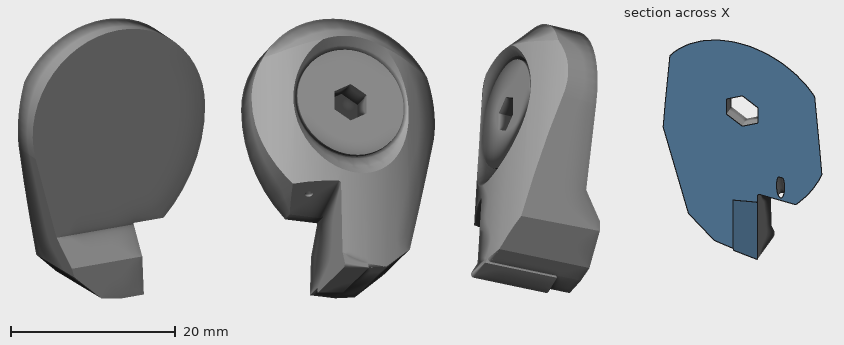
import cadquery as cq
import math


head_radius = 11.75
side_angle = 15.0
flank_radius = 19.0
lobe_bottom = -13.5
rake_face_y = 2.0
blank_front = -13.9
blank_bottom = -26.05
blank_back = 4.17
clear_length = 48.65

dome_radius = 17.3
dome_front = -8.55
dome_tilt = 3.3
chamfer_start = -4.17
chamfer_drop = 1.0

heel_start = -13.7
heel_depth = 2.3
heel_corner = -17.1
heel_taper = 5.0

nose_tilt = 2.0
bevel_outer = (-7.15, -18.4)
bevel_inner = (-3.7, -21.55)
relief_inner = (-1.2, -21.95)
nose_radius = 0.4
nose_centre_x = -9.35

gullet_slope = 16.7
gullet_level = 1.75
gullet_fillet = 0.35
coolant_diameter = 1.0
coolant_depth = 3.47
coolant_x = -5.9
coolant_y = 5.07

screw_diameter = 13.6
screw_face = -6.77
recess_radius = 7.23
recess_angle = 50.0
groove_depth = 0.52
hex_across_flats = 4.1
hex_depth = 3.47

insert_corner_radius = 0.4
insert_corner_spacing = 9.62
insert_thickness = 3.2
insert_clearance = 7.0
insert_corner_x = -10.1
insert_corner_z = -22.58


def tan(angle):
    return math.tan(math.radians(angle))


def sin(angle):
    return math.sin(math.radians(angle))


def cos(angle):
    return math.cos(math.radians(angle))


def polar(radius, angle):
    """Point in the YZ plane at an angle from +Y towards +Z."""
    return (radius * cos(angle), radius * sin(angle))


def outline_blank():
    """Teardrop outline with a stepped +Y side, extruded along X."""
    tangent_y, tangent_z = polar(head_radius, 180 + side_angle)
    side_bottom_y = tangent_y + (tangent_z - blank_bottom) * tan(side_angle)

    flank_centre_y = head_radius - flank_radius
    flank_angle = math.degrees(math.asin(lobe_bottom / flank_radius))
    flank_mid_y, flank_mid_z = polar(flank_radius, flank_angle / 2)
    flank_end_y, _ = polar(flank_radius, flank_angle)

    return (
        cq.Workplane("YZ", origin=(blank_front, 0, 0))
        .moveTo(head_radius, 0)
        .threePointArc((0, head_radius), (tangent_y, tangent_z))
        .lineTo(side_bottom_y, blank_bottom)
        .lineTo(rake_face_y, blank_bottom)
        .lineTo(rake_face_y, lobe_bottom)
        .lineTo(flank_centre_y + flank_end_y, lobe_bottom)
        .threePointArc((flank_centre_y + flank_mid_y, flank_mid_z), (head_radius, 0))
        .close()
        .extrude(blank_back - blank_front)
    )


def back_waste():
    """Material behind the flat back and the tapered heel."""
    heel_bottom_x = heel_depth + (heel_corner - blank_bottom) * tan(heel_taper)
    return (
        cq.Workplane("XZ", origin=(0, clear_length / 2, 0))
        .moveTo(0, clear_length / 2)
        .lineTo(0, heel_start)
        .lineTo(heel_depth, heel_corner)
        .lineTo(heel_bottom_x, blank_bottom)
        .lineTo(2 * blank_back, blank_bottom)
        .lineTo(2 * blank_back, clear_length / 2)
        .close()
        .extrude(clear_length)
    )


def dome():
    """Tilted cylinder whose surface forms the front of the head."""
    length = 2 * clear_length
    axis = cq.Vector(sin(dome_tilt), 0, cos(dome_tilt))
    middle = cq.Vector(dome_front + dome_radius / cos(dome_tilt), 0, 0)
    return cq.Workplane(cq.Solid.makeCylinder(dome_radius, length, middle - axis * (length / 2), axis))


def chamfer_waste():
    """Upper half space outside a 45 degree cone around X."""
    start_radius = head_radius + chamfer_drop
    cone_length = start_radius - chamfer_start
    cone = cq.Solid.makeCone(
        cone_length, 0, cone_length, cq.Vector(0, 0, -chamfer_drop), cq.Vector(-1, 0, 0)
    )
    block = cq.Workplane().box(
        -blank_front, clear_length, clear_length, centered=(False, True, False)
    )
    return block.translate((blank_front, 0, 0)).cut(cq.Workplane(cone))


def underside_waste():
    """Material below the bevel, the relief and the flat bottom, all tilted together."""
    plane = cq.Plane(
        origin=(0, 0, 0), xDir=(0, 1, 0), normal=(cos(nose_tilt), 0, sin(nose_tilt))
    )
    outer_y = 2 * bevel_outer[0] - bevel_inner[0]
    outer_z = 2 * bevel_outer[1] - bevel_inner[1]
    return (
        cq.Workplane(plane)
        .moveTo(outer_y, outer_z)
        .lineTo(*bevel_inner)
        .lineTo(*relief_inner)
        .lineTo(head_radius, relief_inner[1])
        .lineTo(head_radius, 2 * blank_bottom)
        .lineTo(outer_y, 2 * blank_bottom)
        .close()
        .extrude(clear_length / 2, both=True)
    )


def nose_waste():
    """Sharp corner outside the rounding that joins the dome to the relief."""
    relief_rise = (bevel_inner[1] - relief_inner[1]) / (relief_inner[0] - bevel_inner[0])
    plane = cq.Plane(
        origin=(
            nose_centre_x,
            relief_inner[0],
            relief_inner[1] + nose_centre_x * tan(nose_tilt) + nose_radius,
        ),
        xDir=(1, 0, 0),
        normal=(0, -1, relief_rise),
    )
    reach = 3 * nose_radius
    return (
        cq.Workplane(plane)
        .moveTo(-nose_radius, 0)
        .lineTo(-reach, 0)
        .lineTo(-reach, -reach)
        .lineTo(0, -reach)
        .lineTo(0, -nose_radius)
        .threePointArc((-nose_radius * cos(45), -nose_radius * sin(45)), (-nose_radius, 0))
        .close()
        .extrude(head_radius, both=True)
    )


def gullet():
    """Sloping cut above the insert face, rounded where it meets the wall."""
    front_z = lobe_bottom - (blank_front + gullet_level) * tan(gullet_slope)
    wedge = (
        cq.Workplane("XZ", origin=(0, rake_face_y, 0))
        .moveTo(0, lobe_bottom)
        .lineTo(-gullet_level, lobe_bottom)
        .lineTo(blank_front, front_z)
        .lineTo(blank_front, blank_bottom)
        .lineTo(0, blank_bottom)
        .close()
        .extrude(-head_radius)
    )
    corner = cq.selectors.NearestToPointSelector(
        ((blank_front - gullet_level) / 2, rake_face_y, (lobe_bottom + front_z) / 2)
    )
    return wedge.edges(corner).fillet(gullet_fillet)


def coolant_hole():
    """Blind hole square to the sloping gullet face."""
    mouth_z = lobe_bottom - (coolant_x + gullet_level) * tan(gullet_slope)
    mouth = cq.Vector(coolant_x, coolant_y, mouth_z)
    inward = cq.Vector(sin(gullet_slope), 0, cos(gullet_slope))
    hole = cq.Solid.makeCylinder(
        coolant_diameter / 2, 2 * coolant_depth, mouth - inward * coolant_depth, inward
    )
    return cq.Workplane(hole)


def screw_recess():
    """Conical recess around the screw face, with a V groove at its rim."""
    screw_radius = screw_diameter / 2
    mouth_radius = recess_radius + (screw_face - blank_front) * tan(recess_angle)
    return (
        cq.Workplane("XY")
        .moveTo(blank_front, 0)
        .lineTo(blank_front, mouth_radius)
        .lineTo(screw_face, recess_radius)
        .lineTo(screw_face + groove_depth, screw_radius)
        .lineTo(screw_face, screw_radius)
        .lineTo(screw_face, 0)
        .close()
        .revolve(360, (0, 0, 0), (1, 0, 0))
    )


def hex_socket():
    """Hexagonal pocket with two corners on the vertical centre line."""
    across_corners = hex_across_flats / cos(30)
    return (
        cq.Workplane("YZ", origin=(screw_face, 0, 0))
        .transformed(rotate=(0, 0, 90))
        .polygon(6, across_corners)
        .extrude(hex_depth)
    )


def make_insert():
    """Equilateral insert with round corners, narrowing away from its top face."""
    apex = (insert_corner_spacing / 2, insert_corner_spacing * sin(60))
    return (
        cq.Workplane("XZ")
        .polyline([(0, 0), (insert_corner_spacing, 0), apex])
        .close()
        .offset2D(insert_corner_radius)
        .extrude(insert_thickness, taper=insert_clearance)
        .rotate((0, 0, 0), (0, 1, 0), -nose_tilt)
        .translate((insert_corner_x, rake_face_y, insert_corner_z))
    )


def make_head(insert):
    head = outline_blank().intersect(dome())
    for waste in (
        back_waste(),
        chamfer_waste(),
        underside_waste(),
        nose_waste(),
        gullet(),
        coolant_hole(),
        screw_recess(),
        hex_socket(),
        insert,
    ):
        head = head.cut(waste)
    return head


insert = make_insert()
head = make_head(insert)

result = cq.Compound.makeCompound([head.solids().val(), insert.val()])